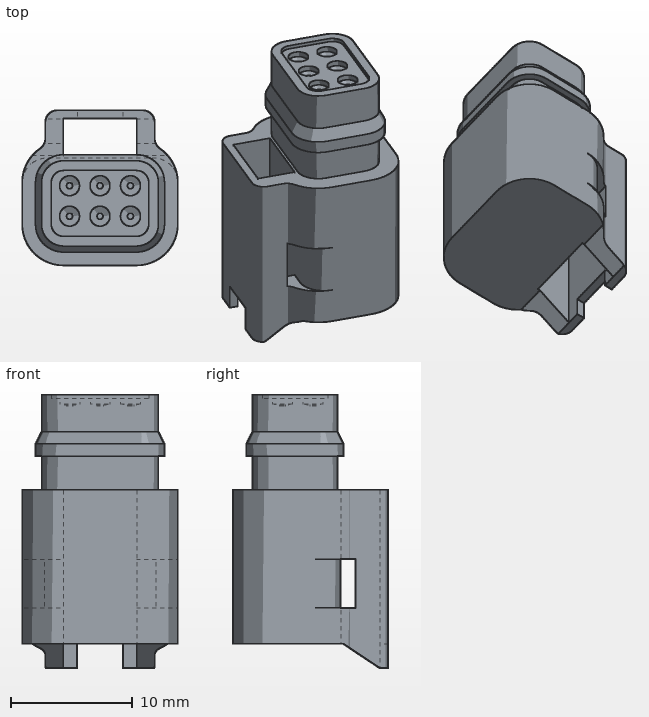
import cadquery as cq
import math

corner_x = 3.0
corner_y = 1.7

sleeve_radius = 3.4
plug_radius = 1.8
collar_radius = 2.3
recess_radius = 1.0

sleeve_height = 12.65
plug_height = 7.8
plug_top = sleeve_height + plug_height
neck_height = 2.75
collar_bottom = sleeve_height + neck_height
collar_rim = 1.0
collar_taper = 1.0
recess_depth = 0.3

housing_half_width = 4.5
housing_back = 7.65
housing_corner_radius = 1.0
housing_blend_radius = 1.0
housing_wall = 0.7
wall_inner_face = housing_back - housing_wall
skirt_drop = 2.0
skirt_slope_run = 3.0
notch_width = 3.74

window_front = corner_y
window_back = 4.95
window_bottom = 2.95
window_height = 4.0
core_radius = 2.05
core_back = corner_y + core_radius

hole_pitch = 2.5
hole_columns = 3
hole_rows = 2
hole_pattern_y = 0.2
mouth_diameter = 1.64
mouth_depth = 0.45
funnel_top_diameter = 1.5
funnel_depth = 0.1
funnel_bottom_diameter = 0.7
seat_diameter = 0.5
seat_depth = 0.05


def rounded_block(radius, bottom, height):
    """Rounded block whose outline lies `radius` outside the corner centres."""
    return (
        cq.Workplane("XY")
        .workplane(offset=bottom)
        .rect(2 * (corner_x + radius), 2 * (corner_y + radius))
        .extrude(height)
        .edges("|Z")
        .fillet(radius)
    )


def box_between(x_range, y_range, z_range):
    """Box spanning the given (low, high) pairs along X, Y and Z."""
    spans = [high - low for low, high in (x_range, y_range, z_range)]
    start = (x_range[0], y_range[0], z_range[0])
    return cq.Workplane("XY").box(*spans, centered=False).translate(start)


def housing_block():
    """Latch housing, blended into the sleeve corners and sloped underneath."""
    blend_x = housing_half_width + housing_blend_radius
    centre_distance = sleeve_radius + housing_blend_radius
    blend_y = corner_y + math.sqrt(centre_distance**2 - (blend_x - corner_x) ** 2)
    share = sleeve_radius / centre_distance
    touch_x = corner_x + share * (blend_x - corner_x)
    touch_y = corner_y + share * (blend_y - corner_y)

    blend_angle = math.atan2(touch_y - blend_y, touch_x - blend_x) % (2 * math.pi)
    middle_angle = (math.pi + blend_angle) / 2
    middle_x = blend_x + housing_blend_radius * math.cos(middle_angle)
    middle_y = blend_y + housing_blend_radius * math.sin(middle_angle)

    arc_angle = math.atan2(touch_y - corner_y, touch_x - corner_x) / 2
    arc_x = corner_x + sleeve_radius * math.cos(arc_angle)
    arc_y = corner_y + sleeve_radius * math.sin(arc_angle)
    sleeve_side = corner_x + sleeve_radius

    corner = housing_corner_radius
    shoulder_x = housing_half_width - corner
    shoulder_y = housing_back - corner
    round_x = shoulder_x + corner * math.sqrt(0.5)
    round_y = shoulder_y + corner * math.sqrt(0.5)
    outline = (
        cq.Workplane("XY")
        .workplane(offset=-skirt_drop)
        .moveTo(sleeve_side, corner_y)
        .threePointArc((arc_x, arc_y), (touch_x, touch_y))
        .threePointArc((middle_x, middle_y), (housing_half_width, blend_y))
        .lineTo(housing_half_width, shoulder_y)
        .threePointArc((round_x, round_y), (shoulder_x, housing_back))
        .lineTo(-shoulder_x, housing_back)
        .threePointArc((-round_x, round_y), (-housing_half_width, shoulder_y))
        .lineTo(-housing_half_width, blend_y)
        .threePointArc((-middle_x, middle_y), (-touch_x, touch_y))
        .threePointArc((-arc_x, arc_y), (-sleeve_side, corner_y))
        .close()
    )
    block = outline.extrude(skirt_drop + sleeve_height)

    side_profile = (
        cq.Workplane("YZ")
        .polyline(
            [
                (0, 0),
                (wall_inner_face - skirt_slope_run, 0),
                (wall_inner_face, -skirt_drop),
                (housing_back, -skirt_drop),
                (housing_back, sleeve_height),
                (0, sleeve_height),
            ]
        )
        .close()
        .extrude(sleeve_side, both=True)
    )
    return block.intersect(side_profile)


def latch_slot():
    """Vertical slot between the core and the back wall, open at both ends."""
    return box_between(
        (-corner_x, corner_x),
        (core_back, wall_inner_face),
        (-skirt_drop, sleeve_height),
    )


def skirt_notch():
    """Gap in the part of the back wall that hangs below the sleeve."""
    return box_between(
        (-notch_width / 2, notch_width / 2),
        (wall_inner_face, housing_back),
        (-skirt_drop, 0),
    )


def cross_window():
    """Window through the housing, around a core whose corners run into the sleeve sides."""
    half_width = corner_x + sleeve_radius
    opening = box_between(
        (-half_width, half_width),
        (window_front, window_back),
        (window_bottom, window_bottom + window_height),
    )
    core = (
        cq.Workplane("XY")
        .rect(2 * half_width, 2 * core_back)
        .extrude(sleeve_height)
        .edges("|Z")
        .fillet(core_radius)
    )
    return opening.cut(core)


def collar():
    """Sealing collar: a straight rim with a taper up to the plug."""
    height = collar_rim + collar_taper
    overhang = collar_radius - plug_radius
    return (
        rounded_block(collar_radius, collar_bottom, height)
        .faces(">Z")
        .chamfer(collar_taper, overhang)
    )


def contact_hole():
    """Cutter for one contact hole, with its mouth at the origin."""
    funnel_bottom = -mouth_depth - funnel_depth
    half_profile = [
        (0, 0),
        (mouth_diameter / 2, 0),
        (mouth_diameter / 2, -mouth_depth),
        (funnel_top_diameter / 2, -mouth_depth),
        (funnel_bottom_diameter / 2, funnel_bottom),
        (seat_diameter / 2, funnel_bottom),
        (seat_diameter / 2, funnel_bottom - seat_depth),
        (0, funnel_bottom - seat_depth),
    ]
    return cq.Workplane("XZ").polyline(half_profile).close().revolve(360, (0, 0), (0, 1))


sleeve = rounded_block(sleeve_radius, 0, sleeve_height)
housing = sleeve.union(housing_block())
housing = housing.cut(latch_slot()).cut(skirt_notch()).cut(cross_window())

plug = rounded_block(plug_radius, sleeve_height, plug_height).union(collar())
recess_floor = plug_top - recess_depth
plug = plug.cut(rounded_block(recess_radius, recess_floor, recess_depth))

result = housing.union(plug)
for column in range(hole_columns):
    for row in range(hole_rows):
        hole_x = (column - (hole_columns - 1) / 2) * hole_pitch
        hole_y = hole_pattern_y + (row - (hole_rows - 1) / 2) * hole_pitch
        result = result.cut(contact_hole().translate((hole_x, hole_y, recess_floor)))